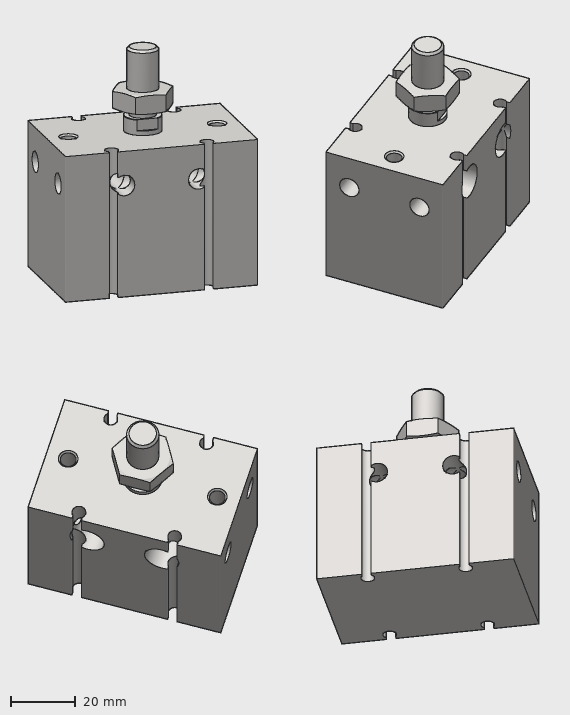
import cadquery as cq
import math

WIDTH = 40.0
LENGTH = 62.0
HEIGHT = 47.0
EDGE_ROUND = 0.15

MOUNT_HOLE_D = 6.6
MOUNT_HOLE_OFFSET = 12.0
MOUNT_HOLE_Z = HEIGHT - 11.0
COUNTERBORE_D = 11.0
COUNTERBORE_DEPTH = 12.0

TAPPED_D = 4.9
TAPPED_MOUTH_D = 6.0
TAPPED_OFFSET = 24.0
TAPPED_DEPTH = 10.35

GROOVE_D = 4.2
GROOVE_OFFSET = 15.4
GROOVE_DEPTH = 4.7
GROOVE_MOUTH = 2.95

ROD_TOP = 74.0
ROD_D = 12.0
COLLAR_TOP = 52.0
COLLAR_CHAMFER = 0.15
FLAT_WIDTH = 10.0
FLAT_BOTTOM = 48.5
NECK_D = 8.4
THREAD_D = 10.0
THREAD_CHAMFER = (THREAD_D - NECK_D) / 2

NUT_SIDES = 6
NUT_ACROSS_FLATS = 17.0
NUT_THICKNESS = 6.0
NUT_BOTTOM = 54.6
NUT_CHAMFER_ANGLE = 15.0


def groove_cutter(side, y):
    """Keyhole groove open towards the side face at x = side * WIDTH / 2."""
    face_x = side * WIDTH / 2
    center_x = face_x - side * (GROOVE_DEPTH - GROOVE_D / 2)
    bore = cq.Workplane("XY").center(center_x, y).circle(GROOVE_D / 2).extrude(HEIGHT)
    mouth = (
        cq.Workplane("XY")
        .center((face_x + center_x) / 2, y)
        .rect(abs(face_x - center_x), GROOVE_MOUTH)
        .extrude(HEIGHT)
    )
    return bore.union(mouth)


def tapped_hole_cutter(y):
    """Blind hole from the top face with a 45 degree countersunk mouth."""
    mouth_depth = (TAPPED_MOUTH_D - TAPPED_D) / 2
    return (
        cq.Workplane("XZ", origin=(0, y, HEIGHT))
        .lineTo(TAPPED_MOUTH_D / 2, 0)
        .lineTo(TAPPED_D / 2, -mouth_depth)
        .lineTo(TAPPED_D / 2, -TAPPED_DEPTH)
        .lineTo(0, -TAPPED_DEPTH)
        .close()
        .revolve(360, (0, 0, 0), (0, 1, 0))
    )


def side_hole_cutter(y):
    """Through hole along X, counterbored from the -X face."""
    left_face = cq.Workplane("YZ", origin=(-WIDTH / 2, y, MOUNT_HOLE_Z))
    bore = left_face.circle(MOUNT_HOLE_D / 2).extrude(WIDTH)
    counterbore = left_face.circle(COUNTERBORE_D / 2).extrude(COUNTERBORE_DEPTH)
    return bore.union(counterbore)


def end_hole_cutter(x):
    """Plain through hole along Y."""
    back_face = cq.Workplane("XZ", origin=(x, LENGTH / 2, MOUNT_HOLE_Z))
    return back_face.circle(MOUNT_HOLE_D / 2).extrude(LENGTH)


def make_housing():
    """Block with four grooves, four crossing mounting holes and two tapped holes."""
    body = cq.Workplane("XY").box(WIDTH, LENGTH, HEIGHT, centered=(True, True, False))
    for side in (-1, 1):
        for sign in (-1, 1):
            body = body.cut(groove_cutter(side, sign * GROOVE_OFFSET))

    body = body.faces("<X or >X").edges("|Z").fillet(EDGE_ROUND)

    for sign in (-1, 1):
        body = body.cut(side_hole_cutter(sign * MOUNT_HOLE_OFFSET))
        body = body.cut(end_hole_cutter(sign * MOUNT_HOLE_OFFSET))
        body = body.cut(tapped_hole_cutter(sign * TAPPED_OFFSET))
    return body


def nut_shape():
    """Hexagon with corners along Y, both ends bevelled by a cone."""
    half_sector = 180 / NUT_SIDES
    across_corners = NUT_ACROSS_FLATS / math.cos(math.radians(half_sector))
    hexagon = (
        cq.Workplane("XY", origin=(0, 0, NUT_BOTTOM))
        .polygon(NUT_SIDES, across_corners)
        .extrude(NUT_THICKNESS)
        .rotate((0, 0, 0), (0, 0, 1), half_sector)
    )
    corner_r = across_corners / 2
    bevel_r = NUT_ACROSS_FLATS / 2
    bevel_height = (corner_r - bevel_r) * math.tan(math.radians(NUT_CHAMFER_ANGLE))
    nut_top = NUT_BOTTOM + NUT_THICKNESS
    envelope = (
        cq.Workplane("XZ")
        .moveTo(0, NUT_BOTTOM)
        .lineTo(bevel_r, NUT_BOTTOM)
        .lineTo(corner_r, NUT_BOTTOM + bevel_height)
        .lineTo(corner_r, nut_top - bevel_height)
        .lineTo(bevel_r, nut_top)
        .lineTo(0, nut_top)
        .close()
        .revolve(360, (0, 0, 0), (0, 1, 0))
    )
    return hexagon.intersect(envelope)


def make_rod():
    """Rod standing on the housing: flatted collar, neck, thread and nut."""
    collar = (
        cq.Workplane("XY", origin=(0, 0, HEIGHT))
        .circle(ROD_D / 2)
        .extrude(COLLAR_TOP - HEIGHT)
        .faces(">Z")
        .chamfer(COLLAR_CHAMFER)
    )
    flats = (
        cq.Workplane("XY", origin=(0, 0, FLAT_BOTTOM))
        .rect(2 * ROD_D, 2 * ROD_D)
        .extrude(COLLAR_TOP - FLAT_BOTTOM)
        .cut(cq.Workplane("XY").box(FLAT_WIDTH, 2 * ROD_D, 2 * ROD_TOP))
    )
    neck = (
        cq.Workplane("XY", origin=(0, 0, COLLAR_TOP))
        .circle(NECK_D / 2)
        .extrude(NUT_BOTTOM - COLLAR_TOP)
    )
    thread = (
        cq.Workplane("XY", origin=(0, 0, NUT_BOTTOM))
        .circle(THREAD_D / 2)
        .extrude(ROD_TOP - NUT_BOTTOM)
        .faces(">Z")
        .chamfer(THREAD_CHAMFER)
    )
    return collar.cut(flats).union(neck).union(thread).union(nut_shape())


housing = make_housing()
rod = make_rod()

result = cq.Compound.makeCompound([housing.val(), rod.val()])